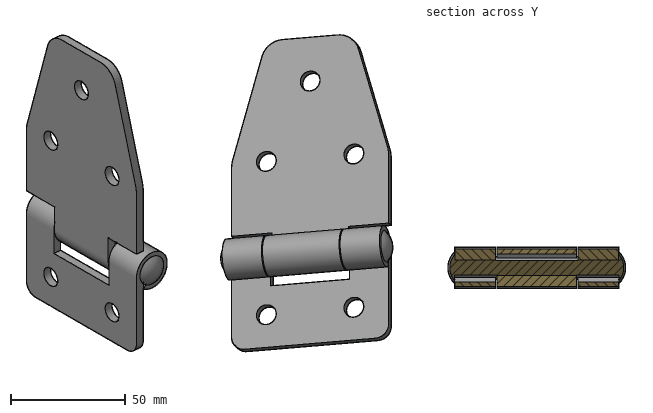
import cadquery as cq
import math

length = 140.0
leaf_width = 72.0
leaf_thickness = 4.0
knuckle_radius = 9.1
axis_height = 40.0
centre_knuckle_width = 35.0
slot_width = 36.0
knuckle_clearance = 12.0
curl_end_angle = 58.0

hole_diameter = 9.0
hole_half_spacing = 20.0
lower_hole_height = 15.0
upper_pair_depth = 55.0
top_hole_depth = 20.0

lower_corner_radius = 6.0
top_half_width = 20.0
taper_depth = 55.0
top_corner_radius = 10.0
taper_foot_radius = 15.0

head_radius = 7.0
head_height = 3.01

half_width = leaf_width / 2
half_centre_knuckle = centre_knuckle_width / 2
half_slot = slot_width / 2
bore_radius = knuckle_radius - leaf_thickness
top_z = length - axis_height
bottom_z = -axis_height


def extrude_plate(outline):
    """Extrude an XZ outline rearwards from the leaf front face."""
    return outline.extrude(-leaf_thickness).translate((0, -knuckle_radius, 0))


def drill(plate, centres):
    """Cut screw holes through a plate at the given (x, z) centres."""
    holes = extrude_plate(cq.Workplane("XZ").pushPoints(centres).circle(hole_diameter / 2))
    return plate.cut(holes)


def along_x(x_start):
    """Workplane with local axes Y and Z, extruding towards +X."""
    return cq.Workplane("YZ", origin=(x_start, 0, 0))


def add_knuckle(plate, x_start, x_end, plate_side):
    """Curl a plate end round the axis; plate_side is +1 for a plate above it, -1 below."""
    width = x_end - x_start
    gap_reach = bore_radius * math.tan(math.radians(curl_end_angle))
    barrel = along_x(x_start).circle(knuckle_radius).extrude(width)
    bore = along_x(x_start).circle(bore_radius).extrude(width)
    curl_gap = (
        along_x(x_start)
        .polyline([(0, 0), (-bore_radius, 0), (-bore_radius, plate_side * gap_reach)])
        .close()
        .extrude(width)
    )
    curl = barrel.cut(bore).cut(curl_gap)
    return plate.union(curl)


def make_upper_leaf():
    outline = (
        cq.Workplane("XZ")
        .moveTo(-half_centre_knuckle, 0)
        .lineTo(half_centre_knuckle, 0)
        .lineTo(half_centre_knuckle, knuckle_clearance)
        .lineTo(half_width, knuckle_clearance)
        .lineTo(half_width, top_z - taper_depth)
        .lineTo(top_half_width, top_z)
        .lineTo(-top_half_width, top_z)
        .lineTo(-half_width, top_z - taper_depth)
        .lineTo(-half_width, knuckle_clearance)
        .lineTo(-half_centre_knuckle, knuckle_clearance)
        .close()
    )
    plate = extrude_plate(outline)
    plate = plate.edges("|Y and >Z").fillet(top_corner_radius)
    foot_z = top_z - taper_depth
    for x in (-half_width, half_width):
        foot_edge = cq.selectors.NearestToPointSelector((x, -knuckle_radius + leaf_thickness / 2, foot_z))
        plate = plate.edges("|Y").edges(foot_edge).fillet(taper_foot_radius)
    pair_z = top_z - upper_pair_depth
    plate = drill(plate, [
        (-hole_half_spacing, pair_z),
        (hole_half_spacing, pair_z),
        (0, top_z - top_hole_depth),
    ])
    return add_knuckle(plate, -half_centre_knuckle, half_centre_knuckle, 1)


def make_lower_leaf():
    outline = (
        cq.Workplane("XZ")
        .moveTo(-half_width, bottom_z)
        .lineTo(half_width, bottom_z)
        .lineTo(half_width, 0)
        .lineTo(half_slot, 0)
        .lineTo(half_slot, -knuckle_clearance)
        .lineTo(-half_slot, -knuckle_clearance)
        .lineTo(-half_slot, 0)
        .lineTo(-half_width, 0)
        .close()
    )
    plate = extrude_plate(outline)
    plate = plate.edges("|Y and <Z").fillet(lower_corner_radius)
    hole_z = bottom_z + lower_hole_height
    plate = drill(plate, [(-hole_half_spacing, hole_z), (hole_half_spacing, hole_z)])
    for x_start, x_end in ((-half_width, -half_slot), (half_slot, half_width)):
        plate = add_knuckle(plate, x_start, x_end, -1)
    return plate


def make_pin():
    """Revolve a shank with a domed head at each end, seated on the outer knuckle faces."""
    dome_radius = (head_radius**2 + head_height**2) / (2 * head_height)
    tip_x = half_width + head_height
    mid_angle = math.asin(head_radius / dome_radius) / 2
    mid_x = tip_x - dome_radius * (1 - math.cos(mid_angle))
    mid_y = dome_radius * math.sin(mid_angle)
    return (
        cq.Workplane("XY")
        .moveTo(-tip_x, 0)
        .threePointArc((-mid_x, mid_y), (-half_width, head_radius))
        .lineTo(-half_width, bore_radius)
        .lineTo(half_width, bore_radius)
        .lineTo(half_width, head_radius)
        .threePointArc((mid_x, mid_y), (tip_x, 0))
        .close()
        .revolve(360, (0, 0, 0), (1, 0, 0))
    )


upper_leaf = make_upper_leaf()
lower_leaf = make_lower_leaf()
pin = make_pin()

result = cq.Compound.makeCompound([upper_leaf.solids().val(), lower_leaf.solids().val(), pin.val()])